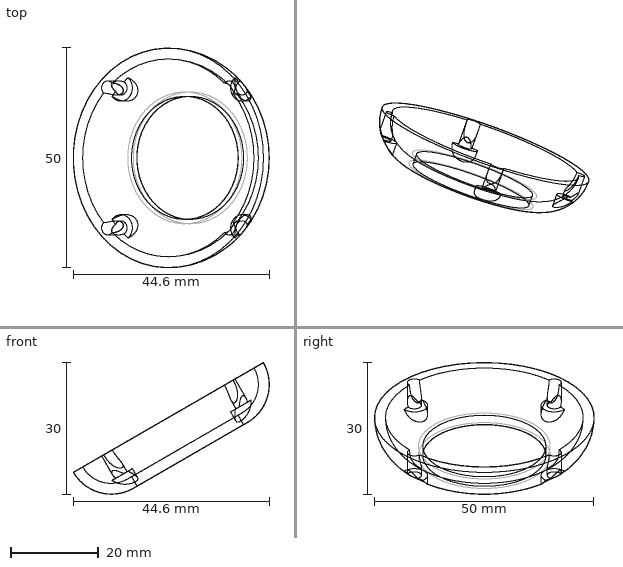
import cadquery as cq
import math

rim_diameter = 50.0
wall = 2.5
bore_diameter = 28.0
floor_diameter = 30.0
tilt = 30.0

hole_diameter = 3.2
hole_count = 4
first_hole_angle = 45.0
counterbore_diameter = 6.0
counterbore_floor = 6.0

rim_radius = rim_diameter / 2
bore_radius = bore_diameter / 2
arc_center = floor_diameter / 2
outer_arc = rim_radius - arc_center
inner_arc = outer_arc - wall
rim_inner_radius = rim_radius - wall


def make_ring():
    """Revolve a quarter-round wall with a narrow flat floor around the bore."""
    half = math.sqrt(0.5)
    profile = (
        cq.Workplane("XZ")
        .moveTo(rim_radius, 0)
        .threePointArc((arc_center + outer_arc * half, -outer_arc * half), (arc_center, -outer_arc))
        .lineTo(bore_radius, -outer_arc)
        .lineTo(bore_radius, -inner_arc)
        .lineTo(arc_center, -inner_arc)
        .threePointArc((arc_center + inner_arc * half, -inner_arc * half), (rim_inner_radius, 0))
        .close()
    )
    return profile.revolve(360, (0, 0, 0), (0, 1, 0))


def make_posts(diameter, top, bottom):
    """Vertical cylinders at every hole position, centred on the inner edge of the rim."""
    return (
        cq.Workplane("XY")
        .workplane(offset=top)
        .polarArray(rim_inner_radius, first_hole_angle, 360, hole_count)
        .circle(diameter / 2)
        .extrude(bottom - top)
    )


through_holes = make_posts(hole_diameter, 0, -outer_arc)
counterbores = make_posts(counterbore_diameter, -counterbore_floor, -outer_arc)
ring = make_ring().cut(through_holes).cut(counterbores)
result = ring.rotate((0, 0, 0), (0, 1, 0), -tilt)